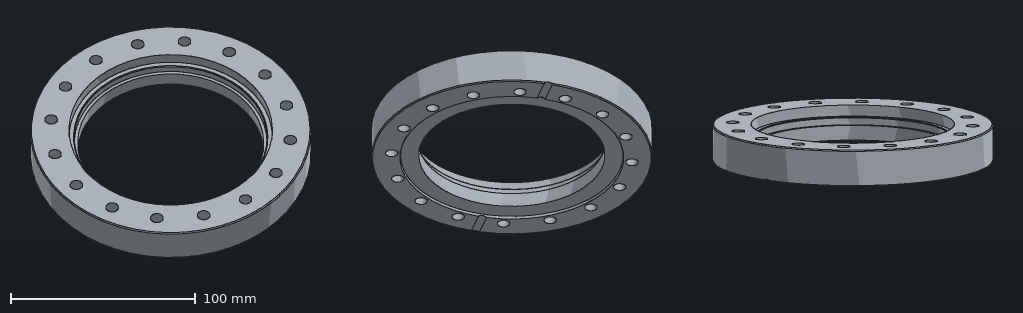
import cadquery as cq


ring_diameter = 152.0
ring_height = 20.0
ring_edge_chamfer = 0.6
lip_bore_diameter = 110.0
lip_thickness = 6.1
seat_diameter = 121.1

bolt_count = 16
bolt_circle_diameter = 130.3
bolt_hole_diameter = 6.7
bolt_pitch_angle = 360 / bolt_count

groove_width = 4.5
groove_depth = 0.9

insert_diameter = 120.4
insert_bore_diameter = 100.6
socket_diameter = 104.3
socket_depth = 4.3
socket_chamfer = 0.5
insert_bottom_z = 1.5

seat_z = ring_height - lip_thickness
insert_height = seat_z - insert_bottom_z


def cut_leak_groove(ring):
    """Cut a shallow round-bottomed groove along X through the underside."""
    half_width = groove_width / 2
    groove = (
        cq.Workplane("YZ")
        .moveTo(-half_width, 0)
        .threePointArc((0, groove_depth), (half_width, 0))
        .close()
        .extrude(ring_diameter / 2, both=True)
    )
    return ring.cut(groove)


def make_bolt_ring():
    """Chamfered disc with a lipped bore, a bolt circle and a leak-check groove."""
    ring = (
        cq.Workplane("XY")
        .circle(ring_diameter / 2)
        .extrude(ring_height)
        .edges()
        .chamfer(ring_edge_chamfer)
    )
    lip_bore = cq.Workplane("XY").circle(lip_bore_diameter / 2).extrude(ring_height)
    seat = cq.Workplane("XY").circle(seat_diameter / 2).extrude(seat_z)
    bolt_holes = (
        cq.Workplane("XY")
        .polarArray(bolt_circle_diameter / 2, bolt_pitch_angle / 2, 360, bolt_count)
        .circle(bolt_hole_diameter / 2)
        .extrude(ring_height)
    )
    return cut_leak_groove(ring.cut(lip_bore).cut(seat).cut(bolt_holes))


def make_insert():
    """Ring with a stepped bore: a socket with a chamfered mouth above a narrower bore."""
    insert = (
        cq.Workplane("XY", origin=(0, 0, insert_bottom_z))
        .circle(insert_diameter / 2)
        .circle(insert_bore_diameter / 2)
        .extrude(insert_height)
    )
    socket = (
        cq.Workplane("XY", origin=(0, 0, seat_z - socket_depth))
        .circle(socket_diameter / 2)
        .extrude(socket_depth)
    )
    inner_edge = cq.selectors.RadiusNthSelector(0)
    return insert.cut(socket).faces(">Z").edges(inner_edge).chamfer(socket_chamfer)


bolt_ring = make_bolt_ring()
insert = make_insert()

result = cq.Compound.makeCompound([bolt_ring.val(), insert.val()])